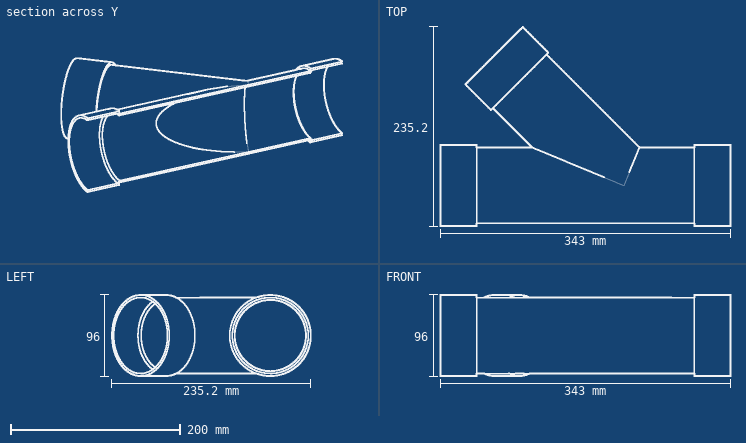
import cadquery as cq

total_length = 343.0
inlet_length = 216.8
outlet_length = total_length - inlet_length
branch_angle = 45.0

pipe_diameter = 90.0
bore_diameter = 84.0
socket_diameter = 96.0
socket_bore_diameter = 90.0
socket_length = 43.0
stop_taper_length = 2.5
socket_depth = socket_length - stop_taper_length

axis_crossing = (0, 0, 0)
vertical_axis = (0, 0, 1)


def arm(length, run_diameter, end_diameter, end_length, taper_length=0.0):
    """Solid of revolution along -X from the axis crossing, wider over its far end."""
    run_radius = run_diameter / 2
    end_radius = end_diameter / 2
    step_x = end_length - length
    profile = [
        (0, 0),
        (0, run_radius),
        (step_x + taper_length, run_radius),
        (step_x, end_radius),
        (-length, end_radius),
        (-length, 0),
    ]
    return cq.Workplane("XY").polyline(profile).close().revolve(360, (0, 0), (1, 0))


def wye(*arm_sizes):
    """Inlet, outlet and slanted branch arms meeting at the axis crossing."""
    inlet = arm(inlet_length, *arm_sizes)
    outlet = arm(outlet_length, *arm_sizes).rotate(axis_crossing, vertical_axis, 180)
    branch = inlet.rotate(axis_crossing, vertical_axis, -branch_angle)
    return inlet.union(outlet).union(branch)


outer_body = wye(pipe_diameter, socket_diameter, socket_length)
inner_passage = wye(bore_diameter, socket_bore_diameter, socket_depth, stop_taper_length)
result = outer_body.cut(inner_passage)